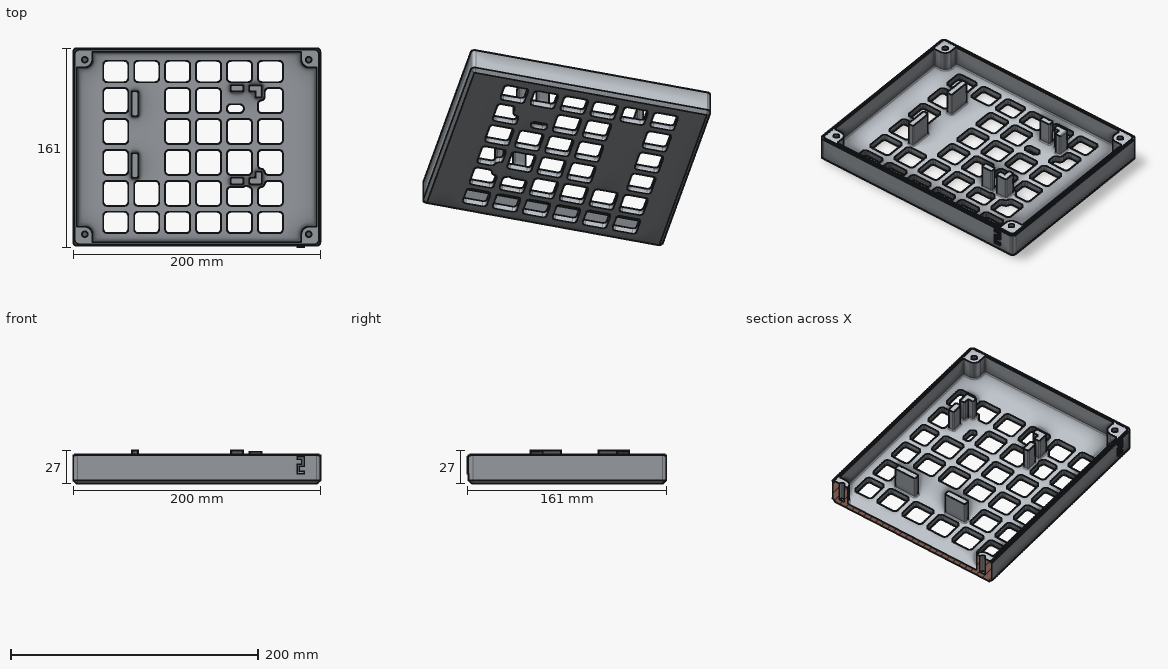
import cadquery as cq
length = 200.0
width = 160.0
body_height = 24.0
wall = 3.0
floor_thickness = 6.0
corner_radius = 3.5
bottom_chamfer = 3.0
lip_inset = 1.5
lip_depth = 1.0
lip_radius = 3.0
foot = 1.0

screw_inset = 9.5
boss_radius = 6.0
boss_blend = 1.0
screw_hole_diameter = 4.7
screw_hole_depth = body_height - floor_thickness

pitch = 25.0
window = 20.0
window_radius = 3.0
columns = 6
rows = 6
grid_centre_x = -3.0
grid_half_width_y = 69.5
closed_cells = {(1, 2), (1, 3), (1, 4), (4, 4)}
slotted_cell = (4, 4)

slot_length = 13.5
slot_height = 7.0

post_mirror_y = 10.0
post_thickness = 5.0
post_radius = 1.0
straight_post_top = 27.0
angle_post_top = 26.0

long_post_x = -50.0
long_post_length = 20.0
long_post_offset = 25.0

outer_line_offset = 40.0
short_post_centre_x = 32.5
short_post_length = 10.0
angle_outer_x = 52.5
angle_arm = 10.0
angle_top_radius = 1.0

post_clearance = 2.5

mark_left = 81.0
mark_bottom = 8.0
mark_bar = 2.0
mark_width = 6.0
mark_step = 6.0
mark_levels = 3
mark_relief = 1.0


def box(x_range, y_range, z_range):
    """Axis-aligned block given by its limits."""
    sizes = [high - low for low, high in (x_range, y_range, z_range)]
    block = cq.Workplane("XY").box(*sizes, centered=False)
    return block.translate((x_range[0], y_range[0], z_range[0]))


def make_shell():
    """Solid outer block with a chamfered underside and a stepped upper rim."""
    ledge_z = body_height - lip_depth
    block = cq.Workplane("XY").box(length, width, ledge_z, centered=(True, True, False))
    block = block.edges("|Z").fillet(corner_radius).faces("<Z").chamfer(bottom_chamfer)
    rim = cq.Workplane("XY").workplane(offset=ledge_z)
    rim = rim.rect(length - 2 * lip_inset, width - 2 * lip_inset).extrude(lip_depth)
    return block.union(rim.edges("|Z").fillet(lip_radius))


def make_cavity():
    """Interior space that leaves a rounded boss in each corner and a filleted foot."""
    inner_x = length / 2 - wall
    inner_y = width / 2 - wall
    boss_x = length / 2 - screw_inset - boss_radius
    boss_y = width / 2 - screw_inset - boss_radius
    depth = body_height - floor_thickness
    plane = cq.Workplane("XY").workplane(offset=floor_thickness)
    across = plane.rect(2 * inner_x, 2 * boss_y).extrude(depth)
    along = plane.rect(2 * boss_x, 2 * inner_y).extrude(depth)
    cavity = across.union(along)
    boss_corners = cq.selectors.BoxSelector(
        (-boss_x - foot, -boss_y - foot, 0),
        (boss_x + foot, boss_y + foot, body_height),
    )
    cavity = cavity.edges("|Z").edges(boss_corners).fillet(boss_radius)
    wall_corners = cavity.edges("|Z").edges("<X or >X or <Y or >Y")
    return wall_corners.fillet(boss_blend).faces("<Z").edges().fillet(foot)


def make_screw_holes():
    """Blind screw holes, one in each corner boss."""
    top = cq.Workplane("XY").workplane(offset=body_height)
    top = top.rect(length - 2 * screw_inset, width - 2 * screw_inset, forConstruction=True)
    return top.vertices().circle(screw_hole_diameter / 2).extrude(-screw_hole_depth)


def make_straight_column(x, y, x_size, y_size):
    """Rectangular post column standing on the floor."""
    x_range = (x - x_size / 2, x + x_size / 2)
    y_range = (y - y_size / 2, y + y_size / 2)
    post = box(x_range, y_range, (floor_thickness, straight_post_top))
    return post.edges("|Z").fillet(post_radius)


def make_angle_column(side):
    """L-shaped column whose corner points away from the mirror plane and towards +X.

    The +Y angle also has its outer top edges rounded.
    """
    z_range = (floor_thickness, angle_post_top)
    x_tip = angle_outer_x - angle_arm
    x_leg = angle_outer_x - post_thickness
    near_y = outer_line_offset - angle_arm
    arm_y = outer_line_offset - post_thickness
    arm = box((x_tip, angle_outer_x), (arm_y, outer_line_offset), z_range)
    leg = box((x_leg, angle_outer_x), (near_y, outer_line_offset), z_range)
    angle = arm.union(leg).clean()
    mid_z = (floor_thickness + angle_post_top) / 2
    inner_edge = cq.selectors.NearestToPointSelector((x_leg, arm_y, mid_z))
    upright_edges = cq.selectors.ParallelDirSelector(cq.Vector(0, 0, 1))
    angle = angle.edges(cq.selectors.SubtractSelector(upright_edges, inner_edge)).fillet(post_radius)
    if side > 0:
        cap = box((0, angle_outer_x), (0, outer_line_offset), z_range)
        cap = cap.edges(">X and >Y").fillet(post_radius)
        cap = cap.faces(">Z").edges(">X or >Y").fillet(angle_top_radius)
        angle = angle.intersect(cap)
    else:
        angle = angle.mirror("XZ")
    return angle.translate((0, post_mirror_y, 0))


def make_columns():
    """Long post, short post and angle on each side of the mirror plane."""
    made = []
    for side in (-1, 1):
        long_y = post_mirror_y + side * long_post_offset
        short_y = post_mirror_y + side * (outer_line_offset - post_thickness / 2)
        made.append(make_straight_column(long_post_x, long_y, post_thickness, long_post_length))
        made.append(make_straight_column(short_post_centre_x, short_y, short_post_length, post_thickness))
        made.append(make_angle_column(side))
    return made


def column_outline(column, grow):
    """Bottom outline of a post column, moved outward by grow and ready to extrude."""
    return column.faces("<Z").wires().toPending().offset2D(grow)


def with_foot(column):
    """Post column with a filleted foot, on a root that sinks into the floor."""
    root = column_outline(column, post_clearance).extrude(-floor_thickness / 2, combine=False)
    post = column.union(root)
    root_top = post.faces("+Z").faces("<Z").val()
    post_base = [edge for wire in root_top.innerWires() for edge in wire.Edges()]
    return post.newObject(post_base).fillet(foot)


def cell_limits(column, row):
    """X and Y limits of a grid cell, trimmed to the grid edges along Y."""
    x = grid_centre_x + (column - (columns - 1) / 2) * pitch
    y = (row - (rows - 1) / 2) * pitch
    y_min = max(y - window / 2, -grid_half_width_y)
    y_max = min(y + window / 2, grid_half_width_y)
    return (x - window / 2, x + window / 2), (y_min, y_max)


def round_window(opening):
    """Round every outward corner of a window by shrinking and regrowing its outline."""
    shrunk = opening.faces("<Z").wires().toPending().offset2D(-window_radius)
    return shrunk.offset2D(window_radius).extrude(floor_thickness, combine=False)


def make_windows(post_columns):
    """All open cells of the grid, cut back around the posts."""
    reliefs = [
        column_outline(column, post_clearance).extrude(-floor_thickness, combine=False)
        for column in post_columns
    ]
    windows = cq.Workplane("XY")
    for column in range(columns):
        for row in range(rows):
            if (column, row) in closed_cells:
                continue
            opening = box(*cell_limits(column, row), (0, floor_thickness))
            for relief in reliefs:
                opening = opening.cut(relief)
            windows = windows.add(round_window(opening))
    return windows.combine()


def make_slot():
    """Slot with a full round at its +X end and smaller corners at its -X end."""
    (x_min, _), (y_min, _) = cell_limits(*slotted_cell)
    y_max = y_min + slot_height
    x_max = x_min + slot_length
    arc_x = x_max - slot_height / 2
    outline = cq.Workplane("XY").moveTo(x_min, y_min).lineTo(arc_x, y_min)
    outline = outline.threePointArc((x_max, (y_min + y_max) / 2), (arc_x, y_max))
    slot = outline.lineTo(x_min, y_max).close().extrude(floor_thickness)
    return slot.edges("|Z and <X").fillet(window_radius)


def make_mark():
    """Raised strip of horizontal bars joined on the right above and on the left below."""
    y_range = (-width / 2 - mark_relief, -width / 2)
    right = mark_left + mark_width
    mark = cq.Workplane("XY")
    for level in range(mark_levels):
        z = mark_bottom + level * mark_step
        mark = mark.union(box((mark_left, right), y_range, (z, z + mark_bar)))
    middle_z = mark_bottom + mark_step
    left_link = box((mark_left, mark_left + mark_bar), y_range, (mark_bottom, middle_z + mark_bar))
    right_link = box((right - mark_bar, right), y_range, (middle_z, middle_z + mark_step + mark_bar))
    return mark.union(left_link).union(right_link).clean()


post_columns = make_columns()
result = make_shell().cut(make_cavity()).cut(make_screw_holes())
result = result.cut(make_windows(post_columns)).cut(make_slot())
for post_column in post_columns:
    result = result.union(with_foot(post_column))
result = result.union(make_mark())